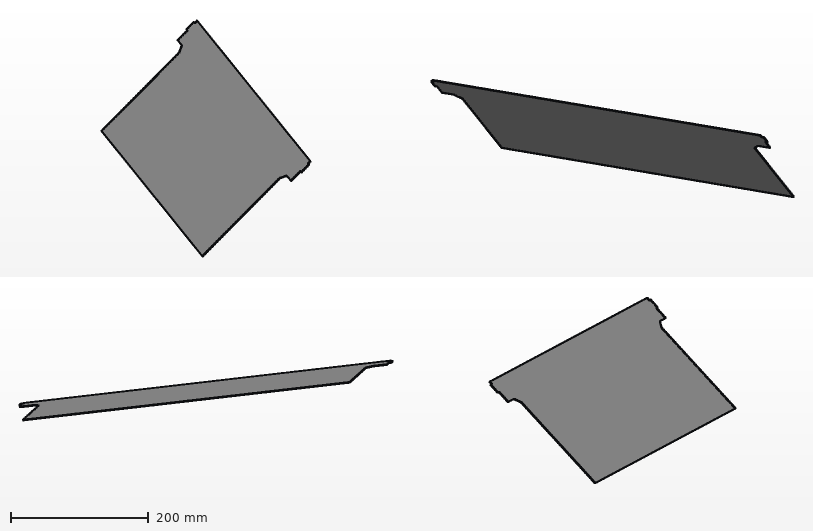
import cadquery as cq

overall_width = 551.0
sheet_length = 210.5
thickness = 1.5
tilt_angle = 42.5

lug_projection = 4.0
lug_offset = 5.0
lug_length = 15.5
ear_length = 40.0
panel_width = 484.0
corner_bevel = 10.0

ear_width = overall_width - 2 * lug_projection


def centered_plate(width, length, upper_offset):
    """Rectangular plate hanging down the slope from the given offset."""
    center_y = sheet_length / 2 - upper_offset - length / 2
    return cq.Workplane("XY").center(0, center_y).rect(width, length).extrude(thickness)


def make_sheet():
    """T-shaped panel with ears, bevelled inner corners and locating lugs."""
    panel = centered_plate(panel_width, sheet_length, 0)
    ears = centered_plate(ear_width, ear_length, 0)
    lugs = centered_plate(overall_width, lug_length, lug_offset)
    sheet = panel.union(ears)
    corner_y = sheet_length / 2 - ear_length
    for side in (-1, 1):
        corner = cq.selectors.NearestToPointSelector((side * panel_width / 2, corner_y, thickness / 2))
        sheet = sheet.edges("|Z").edges(corner).chamfer(corner_bevel)
    return sheet.union(lugs)


result = make_sheet().rotate((0, 0, 0), (1, 0, 0), tilt_angle)